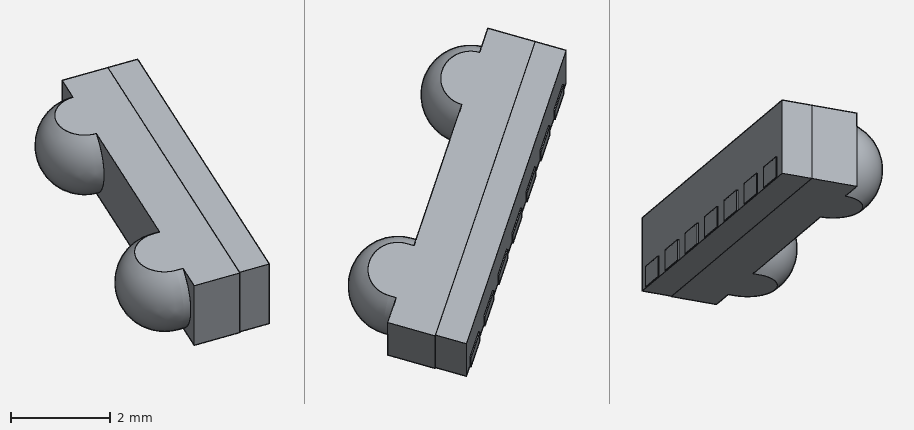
import cadquery as cq

BLOCK_LENGTH = 6.8
BLOCK_DEPTH = 1.0
HEIGHT = 1.6

LENS_RADIUS = 1.0
LEFT_LENS_X = 1.16
RIGHT_LENS_X = 5.625
LEFT_LENS_BARREL = 0.0
RIGHT_LENS_BARREL = 0.15

BOARD_LENGTH = 6.78
BOARD_DEPTH = 0.65

PAD_COUNT = 7
PAD_PITCH = 0.95
PAD_WIDTH = 0.6
PAD_THICKNESS = 0.03
PAD_HEIGHT = 0.45

BOARD_BACK_Y = BLOCK_DEPTH + BOARD_DEPTH


def corner_box(length, depth, height, x=0.0, y=0.0):
    """Box standing on Z = 0 with its left front corner at (x, y)."""
    return cq.Workplane("XY").box(length, depth, height, centered=False).translate((x, y, 0))


def make_lens(center_x, barrel):
    """Round-ended lens pointing toward -Y, cut flat at the block's top and bottom."""
    tip_y = -barrel - LENS_RADIUS
    dome_edge = (LENS_RADIUS, -barrel)
    dome_middle = (LENS_RADIUS * 0.5 ** 0.5, -barrel - LENS_RADIUS * 0.5 ** 0.5)
    root_y = BLOCK_DEPTH / 2
    lens = (
        cq.Workplane("XY")
        .moveTo(0, root_y)
        .lineTo(LENS_RADIUS, root_y)
        .lineTo(*dome_edge)
        .threePointArc(dome_middle, (0, tip_y))
        .close()
        .revolve(360, (0, 0, 0), (0, 1, 0))
        .translate((center_x, 0, HEIGHT / 2))
    )
    trim = corner_box(BLOCK_LENGTH, root_y - tip_y, HEIGHT, y=tip_y)
    return lens.intersect(trim)


def make_lens_block():
    """Clear block with its two lenses, moulded in one piece."""
    block = corner_box(BLOCK_LENGTH, BLOCK_DEPTH, HEIGHT)
    left_lens = make_lens(LEFT_LENS_X, LEFT_LENS_BARREL)
    right_lens = make_lens(RIGHT_LENS_X, RIGHT_LENS_BARREL)
    return block.union(left_lens).union(right_lens).solids()


def make_board():
    return corner_box(BOARD_LENGTH, BOARD_DEPTH, HEIGHT, y=BLOCK_DEPTH)


def make_pad(center_x):
    left_x = center_x - PAD_WIDTH / 2
    return corner_box(PAD_WIDTH, PAD_THICKNESS, PAD_HEIGHT, x=left_x, y=BOARD_BACK_Y)


lens_block = make_lens_block()
board = make_board()

first_pad_x = BLOCK_LENGTH / 2 - PAD_PITCH * (PAD_COUNT - 1) / 2
pads = [make_pad(first_pad_x + i * PAD_PITCH) for i in range(PAD_COUNT)]

result = cq.Compound.makeCompound([lens_block.val(), board.val(), *[pad.val() for pad in pads]])